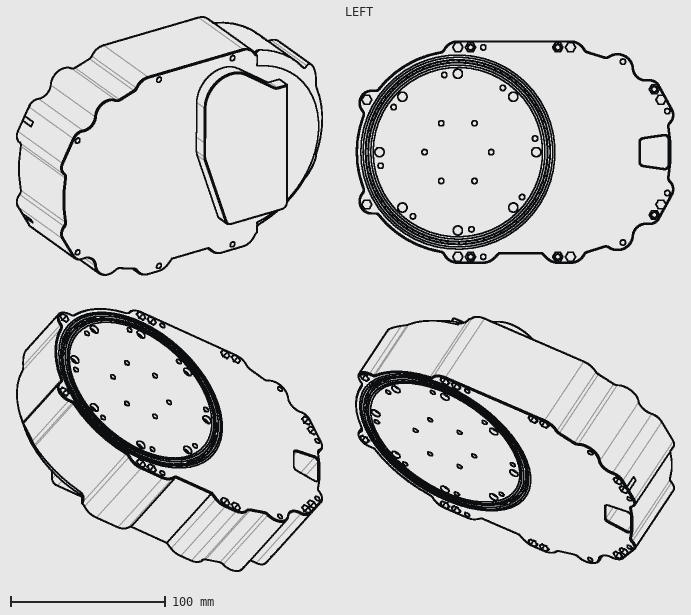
import cadquery as cq
import math


HOUSING_DEPTH = 54.5
EDGE_CHAMFER = 0.6
AXIS_Y = 37.0
DRUM_RADIUS = 65.9
TOP_Z = 72.0
LOBE_RADIUS = 10.3
LOBE_Z = TOP_Z - LOBE_RADIUS
RELIEF_Z = -65.9

DRUM_LOBE_Y = 37.0
REAR_LOBE_Y = -36.0
EAR = (92.8, 32.0)
EAR_RADIUS = 8.2
UPPER_LOBE = (-66.5, 53.5)
SIDE_LOBE = (-87.0, 39.5)
SIDE_LOBE_RADIUS = 7.5
END_LOBE = (-95.7, 24.0)
END_LOBE_RADIUS = 7.2
SHOULDER_POINT = (-47.1, 65.0)
SHOULDER_ANGLE = 197.5
END_Y = -101.3
END_ARC_RADIUS = 88.5
NECK_FILLET = 3.0
ROOT_FILLET = 1.0
VALLEY_FILLET = 8.2
RELIEF_LOBES_Y = (20.5, -27.8)

SMALL_HOLE = 3.5
HEX_ACROSS_CORNERS = 6.5
HEX_DEPTH = 10.3
NUT_DEPTH = 4.1
PIN_DEPTH = 10.3
HEX_POCKETS = [(37.0, 68.0), (-36.0, 68.0), (96.1, 34.0), (-94.7, 34.0)]
THROUGH_SCREWS = [(28.8, 68.0), (-27.8, 68.0), (-90.4, 40.8)]
PIN_HOLES = [(-70.0, 58.7), (-98.8, 26.5)]
SINGLE_PIN_Y = 20.5
SINGLE_PIN_Z = 68.0

WINDOW_INNER_Y = -81.0
WINDOW_OUTER_Y = -99.5
WINDOW_INNER_HALF = 8.5
WINDOW_OUTER_HALF = 11.1
WINDOW_CORNER = 2.5
WINDOW_DEPTH = 41.2

CONE_LEG = 7.8
CONE_END_Y = 47.8
CONE_REACH = 20.5

COVER_HEIGHT = 9.9
COVER_TOP_Z = 63.0
COVER_ROUND = 20.2
COVER_ROUND_Y = 21.5
COVER_SLOPE = 54.0
COVER_SIDE = 178.5
COVER_SHELF_Y = 57.5
COVER_SHELF_Z = 42.6
COVER_FAR_Y = 64.8
COVER_NEAR_Y = 1.0
COVER_STEP_Z = 18.1
COVER_BOTTOM_Z = -47.1
COVER_CORNER = 4.1

BEARING_OD = 126.0
OUTER_RING_ID = 120.0
CAGE_OD = 119.5
CAGE_ID = 116.5
INNER_RING_OD = 116.0
INNER_RING_ID = 110.0
LIP_ID = 123.0
FLANGE_OD = 113.0
LIP_THICKNESS = 0.6
CAGE_RECESS = 2.5
BORE_DEPTH = 14.5
POCKET_COUNT = 31
POCKET_RADIUS = 2.3

MOUNT_HOLE = 6.0
MOUNT_COUNT = 8
MOUNT_CIRCLE_RADIUS = 50.8
DOWEL_OFFSET = -10.0
CENTRE_COUNT = 6
CENTRE_CIRCLE_RADIUS = 21.6
DISC_HOLE_DEPTH = 3.0


def on_circle(centre, radius, degrees):
    """Point (Y, Z) at an angle measured from +Y toward +Z."""
    a = math.radians(degrees)
    return (centre[0] + radius * math.cos(a), centre[1] + radius * math.sin(a))


def mirrored(points):
    """The points together with their mirror images below Z = 0."""
    return points + [(y, -z) for y, z in points]


def plane_at(x):
    """Sketch plane across X, with local axes Y and Z."""
    return cq.Workplane("YZ", origin=(x, 0, 0))


def cylinder(diameter, x_start, x_end):
    """Cylinder on the output axis."""
    return plane_at(x_start).center(AXIS_Y, 0).circle(diameter / 2).extrude(x_end - x_start)


def tube(outer, inner, x_start, x_end):
    return cylinder(outer, x_start, x_end).cut(cylinder(inner, x_start, x_end))


def circle_positions(radius, count, start=0.0):
    """Evenly spaced points around the output axis."""
    return [on_circle((AXIS_Y, 0), radius, start + 360.0 * i / count) for i in range(count)]


def bridge(centre, first, first_radius, second, second_radius):
    """Start, middle and end of a concave arc about centre that touches two round outlines."""
    def touch(circle, radius):
        reach = math.dist(circle, centre)
        return tuple(c + (m - c) * radius / reach for c, m in zip(circle, centre))

    start = touch(first, first_radius)
    end = touch(second, second_radius)
    return start, arc_middle(centre, start, end), end


def arc_middle(centre, start, end):
    """Middle of the short arc about centre from start to end."""
    y = (start[0] + end[0]) / 2 - centre[0]
    z = (start[1] + end[1]) / 2 - centre[1]
    scale = math.dist(centre, start) / math.hypot(y, z)
    return (centre[0] + y * scale, centre[1] + z * scale)


def circle_bridge(first, first_radius, second, second_radius, fillet):
    """Concave fillet from one circle to the next, going counterclockwise round the outline."""
    gap = math.dist(first, second)
    reach = first_radius + fillet
    along = (gap**2 + reach**2 - (second_radius + fillet) ** 2) / (2 * gap)
    outward = math.sqrt(reach**2 - along**2)
    y, z = [(b - a) / gap for a, b in zip(first, second)]
    centre = (first[0] + along * y + outward * z, first[1] + along * z - outward * y)
    return bridge(centre, first, first_radius, second, second_radius)


def line_bridge(point, degrees, circle, radius, fillet, line_first):
    """Concave fillet between a circle and the line through point in a travel direction."""
    y, z = on_circle((0, 0), 1, degrees)
    base = (point[0] + fillet * z, point[1] - fillet * y)
    to_circle = (circle[0] - base[0], circle[1] - base[1])
    middle = to_circle[0] * y + to_circle[1] * z
    offset = to_circle[0] * z - to_circle[1] * y
    half = math.sqrt((radius + fillet) ** 2 - offset**2)
    along = middle - half if line_first else middle + half
    centre = (base[0] + along * y, base[1] + along * z)
    on_line = (point[0] + along * y, point[1] + along * z)
    on_round = bridge(centre, circle, radius, circle, radius)[0]
    start, end = (on_line, on_round) if line_first else (on_round, on_line)
    return start, arc_middle(centre, start, end), end


def half_outline():
    """Upper half from the drum to the far end, as (end point, middle of arc or None) steps."""
    drum = (AXIS_Y, 0)
    top_lobe = (DRUM_LOBE_Y, LOBE_Z)
    rear_lobe = (REAR_LOBE_Y, LOBE_Z)
    far_arc = (END_Y + END_ARC_RADIUS, 0)
    ear_top = (EAR[0], EAR[1] + EAR_RADIUS)

    neck = circle_bridge(drum, DRUM_RADIUS, EAR, EAR_RADIUS, NECK_FILLET)
    ear_root = line_bridge(ear_top, 180, drum, DRUM_RADIUS, ROOT_FILLET, True)
    drum_root = circle_bridge(drum, DRUM_RADIUS, top_lobe, LOBE_RADIUS, NECK_FILLET)
    rear_root = line_bridge(
        SHOULDER_POINT, SHOULDER_ANGLE, rear_lobe, LOBE_RADIUS, NECK_FILLET, False)
    shoulder_end = line_bridge(
        SHOULDER_POINT, SHOULDER_ANGLE, UPPER_LOBE, LOBE_RADIUS, NECK_FILLET, True)
    valley = circle_bridge(UPPER_LOBE, LOBE_RADIUS, SIDE_LOBE, SIDE_LOBE_RADIUS, VALLEY_FILLET)
    end_root = circle_bridge(END_LOBE, END_LOBE_RADIUS, far_arc, END_ARC_RADIUS, NECK_FILLET)

    heading = math.atan2(END_LOBE[1] - SIDE_LOBE[1], END_LOBE[0] - SIDE_LOBE[0])
    spread = math.acos((SIDE_LOBE_RADIUS - END_LOBE_RADIUS) / math.dist(SIDE_LOBE, END_LOBE))
    flank = math.degrees(heading - spread)
    side_end = on_circle(SIDE_LOBE, SIDE_LOBE_RADIUS, flank)
    end_start = on_circle(END_LOBE, END_LOBE_RADIUS, flank)
    top_start = (DRUM_LOBE_Y, TOP_Z)
    top_end = (REAR_LOBE_Y, TOP_Z)

    return [
        (neck[0], arc_middle(drum, (AXIS_Y + DRUM_RADIUS, 0), neck[0])),
        (neck[2], neck[1]),
        (ear_top, arc_middle(EAR, neck[2], ear_top)),
        (ear_root[0], None),
        (ear_root[2], ear_root[1]),
        (drum_root[0], arc_middle(drum, ear_root[2], drum_root[0])),
        (drum_root[2], drum_root[1]),
        (top_start, arc_middle(top_lobe, drum_root[2], top_start)),
        (top_end, None),
        (rear_root[0], arc_middle(rear_lobe, top_end, rear_root[0])),
        (rear_root[2], rear_root[1]),
        (shoulder_end[0], None),
        (shoulder_end[2], shoulder_end[1]),
        (valley[0], arc_middle(UPPER_LOBE, shoulder_end[2], valley[0])),
        (valley[2], valley[1]),
        (side_end, arc_middle(SIDE_LOBE, valley[2], side_end)),
        (end_start, None),
        (end_root[0], arc_middle(END_LOBE, end_start, end_root[0])),
        (end_root[2], end_root[1]),
    ]


def housing_blank():
    steps = half_outline()
    wire = plane_at(0).moveTo(AXIS_Y + DRUM_RADIUS, 0)
    for point, middle in steps:
        wire = wire.lineTo(*point) if middle is None else wire.threePointArc(middle, point)

    points = [(AXIS_Y + DRUM_RADIUS, 0)] + [point for point, _ in steps]
    last_y, last_z = points[-1]
    wire = wire.threePointArc((END_Y, 0), (last_y, -last_z))
    for i in range(len(steps) - 1, 0, -1):
        middle = steps[i][1]
        y, z = points[i]
        if middle is None:
            wire = wire.lineTo(y, -z)
        else:
            wire = wire.threePointArc((middle[0], -middle[1]), (y, -z))
    first_middle = steps[0][1]
    wire = wire.threePointArc((first_middle[0], -first_middle[1]), points[0]).close()
    return wire.extrude(HOUSING_DEPTH)


def bottom_relief():
    """Cutter for the flat between the two bottom lobes, with 45 degree flanks off each lobe."""
    front_y, rear_y = RELIEF_LOBES_Y
    front = on_circle((front_y, -LOBE_Z), LOBE_RADIUS, 225)
    rear = on_circle((rear_y, -LOBE_Z), LOBE_RADIUS, 315)
    rise = RELIEF_Z - front[1]
    return (
        plane_at(0)
        .moveTo(front_y, -TOP_Z)
        .threePointArc(on_circle((front_y, -LOBE_Z), LOBE_RADIUS, 247), front)
        .lineTo(front[0] - rise, RELIEF_Z)
        .lineTo(rear[0] + rise, RELIEF_Z)
        .lineTo(*rear)
        .threePointArc(on_circle((rear_y, -LOBE_Z), LOBE_RADIUS, 293), (rear_y, -TOP_Z))
        .lineTo(rear_y, -TOP_Z - 2)
        .lineTo(front_y, -TOP_Z - 2)
        .close()
        .extrude(HOUSING_DEPTH)
    )


def cone_relief():
    """Cutter outside a 45 degree cone, limited to the drum side of the housing."""
    inner = DRUM_RADIUS - CONE_LEG
    back = HOUSING_DEPTH
    ring = (
        cq.Workplane("XY")
        .polyline([
            (back, AXIS_Y + inner),
            (back - CONE_REACH, AXIS_Y + inner + CONE_REACH),
            (back, AXIS_Y + inner + CONE_REACH),
        ])
        .close()
        .revolve(360, (0, AXIS_Y), (1, AXIS_Y))
    )
    round_end = CONE_LEG * (1 - math.sqrt(0.5))
    limit = (
        cq.Workplane("XY", origin=(0, 0, -TOP_Z * 2))
        .moveTo(back, CONE_END_Y)
        .threePointArc(
            (back - CONE_LEG + round_end, CONE_END_Y + round_end),
            (back - CONE_LEG, CONE_END_Y + CONE_LEG),
        )
        .lineTo(back - CONE_REACH, CONE_END_Y + 2 * CONE_REACH)
        .lineTo(back - CONE_REACH, AXIS_Y + 2 * DRUM_RADIUS)
        .lineTo(back, AXIS_Y + 2 * DRUM_RADIUS)
        .close()
        .extrude(TOP_Z * 4)
    )
    return ring.intersect(limit)


def connector_window():
    return (
        plane_at(0)
        .polyline([
            (WINDOW_INNER_Y, -WINDOW_INNER_HALF),
            (WINDOW_INNER_Y, WINDOW_INNER_HALF),
            (WINDOW_OUTER_Y, WINDOW_OUTER_HALF),
            (WINDOW_OUTER_Y, -WINDOW_OUTER_HALF),
        ])
        .close()
        .extrude(WINDOW_DEPTH)
        .edges("|X")
        .fillet(WINDOW_CORNER)
    )


def cover_block():
    centre = (COVER_ROUND_Y, COVER_TOP_Z - COVER_ROUND)
    return (
        plane_at(HOUSING_DEPTH)
        .moveTo(*on_circle(centre, COVER_ROUND, COVER_SLOPE))
        .threePointArc(
            on_circle(centre, COVER_ROUND, (COVER_SLOPE + COVER_SIDE) / 2),
            on_circle(centre, COVER_ROUND, COVER_SIDE),
        )
        .lineTo(COVER_NEAR_Y, COVER_STEP_Z)
        .lineTo(COVER_NEAR_Y, 7.8)
        .threePointArc((1.15, 6.2), (1.52, 4.7))
        .lineTo(17.5, -44.3)
        .threePointArc((19.0, -46.3), (21.5, COVER_BOTTOM_Z))
        .lineTo(COVER_FAR_Y - COVER_CORNER, COVER_BOTTOM_Z)
        .radiusArc((COVER_FAR_Y, COVER_BOTTOM_Z + COVER_CORNER), -COVER_CORNER)
        .lineTo(COVER_FAR_Y, COVER_SHELF_Z)
        .lineTo(COVER_SHELF_Y, COVER_SHELF_Z)
        .threePointArc((56.2, 42.8), (55.0, 43.5))
        .close()
        .extrude(COVER_HEIGHT)
        .faces(">X")
        .chamfer(EDGE_CHAMFER)
    )


def make_housing():
    body = housing_blank().cut(bottom_relief())
    body = body.faces("<X or >X").chamfer(EDGE_CHAMFER)
    body = body.cut(cone_relief())
    body = body.cut(connector_window())
    rim = cq.selectors.BoxSelector((-0.2, WINDOW_OUTER_Y - 0.2, -12.4), (0.2, WINDOW_INNER_Y + 0.2, 12.4))
    body = body.edges(rim).chamfer(EDGE_CHAMFER)
    body = body.union(cover_block())

    body = body.cut(cylinder(LIP_ID, 0, BORE_DEPTH))
    body = body.cut(cylinder(BEARING_OD, LIP_THICKNESS, BORE_DEPTH))

    hexes = plane_at(0).pushPoints(mirrored(HEX_POCKETS)).polygon(6, HEX_ACROSS_CORNERS)
    body = body.cut(hexes.extrude(HEX_DEPTH))
    nuts = plane_at(0).pushPoints(mirrored(THROUGH_SCREWS)).polygon(6, HEX_ACROSS_CORNERS)
    body = body.cut(nuts.extrude(NUT_DEPTH))
    screws = plane_at(0).pushPoints(mirrored(THROUGH_SCREWS)).circle(SMALL_HOLE / 2)
    body = body.cut(screws.extrude(HOUSING_DEPTH))
    pin_points = mirrored(PIN_HOLES + [(SINGLE_PIN_Y, SINGLE_PIN_Z)])
    pins = plane_at(0).pushPoints(pin_points).circle(SMALL_HOLE / 2)
    return body.cut(pins.extrude(PIN_DEPTH))


def make_cage():
    """Bearing cage with a row of radial roller pockets opening at its front."""
    cage = tube(CAGE_OD, CAGE_ID, CAGE_RECESS, BORE_DEPTH)
    pocket = (
        cq.Workplane("XZ", origin=(CAGE_RECESS + POCKET_RADIUS * 0.2, AXIS_Y, 0))
        .circle(POCKET_RADIUS)
        .extrude(-CAGE_OD)
    )
    for i in range(POCKET_COUNT):
        cage = cage.cut(pocket.rotate((0, AXIS_Y, 0), (1, AXIS_Y, 0), 360.0 * i / POCKET_COUNT))
    return cage


def make_disc():
    disc = cylinder(INNER_RING_ID, 0, BORE_DEPTH).union(cylinder(FLANGE_OD, 0, LIP_THICKNESS))
    mounts = plane_at(0).pushPoints(circle_positions(MOUNT_CIRCLE_RADIUS, MOUNT_COUNT))
    disc = disc.cut(mounts.circle(MOUNT_HOLE / 2).extrude(DISC_HOLE_DEPTH))
    small = circle_positions(MOUNT_CIRCLE_RADIUS, MOUNT_COUNT, DOWEL_OFFSET)
    small += circle_positions(CENTRE_CIRCLE_RADIUS, CENTRE_COUNT)
    return disc.cut(plane_at(0).pushPoints(small).circle(SMALL_HOLE / 2).extrude(DISC_HOLE_DEPTH))


housing = make_housing()
outer_ring = tube(BEARING_OD, OUTER_RING_ID, LIP_THICKNESS, BORE_DEPTH)
cage = make_cage()
inner_ring = tube(INNER_RING_OD, INNER_RING_ID, LIP_THICKNESS, BORE_DEPTH)
output_disc = make_disc()

result = cq.Compound.makeCompound([
    housing.val(),
    outer_ring.val(),
    cage.val(),
    inner_ring.val(),
    output_disc.val(),
])